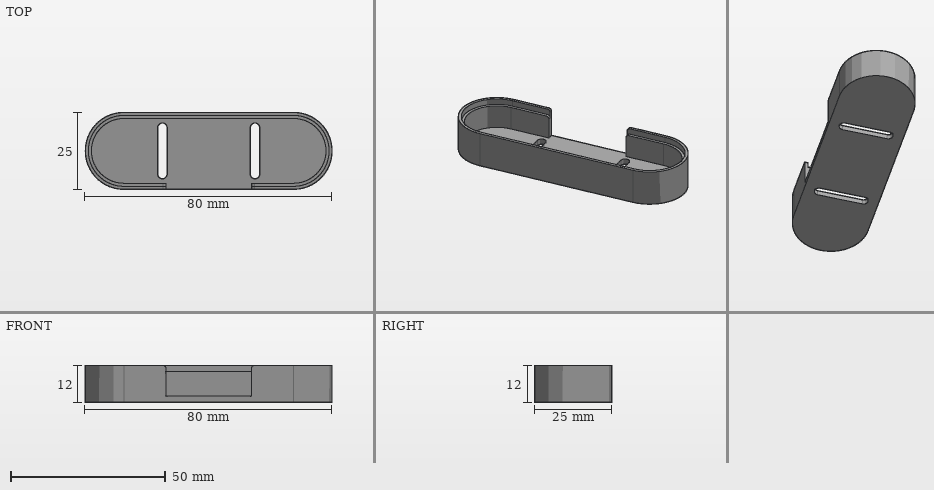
import cadquery as cq

LENGTH = 80.0
WIDTH = 25.0
HEIGHT = 12.0
FLOOR_THICKNESS = 2.0

WALL_THICKNESS = 2.0
LEDGE_WIDTH = 1.0
LEDGE_DEPTH = 2.0
LEDGE_HEIGHT = HEIGHT - LEDGE_DEPTH

OPENING_WIDTH = 27.7
OPENING_CORNER_RADIUS = 1.0

SLOT_LENGTH = 18.0
SLOT_WIDTH = 3.0
SLOT_SPACING = 30.0


def stadium(inset, bottom, top):
    """Solid with round ends, inset from the tray outline, between two heights."""
    return (
        cq.Workplane("XY")
        .workplane(offset=bottom)
        .slot2D(LENGTH - 2 * inset, WIDTH - 2 * inset)
        .extrude(top - bottom)
    )


def make_tray():
    """Tray with a flat floor and a stepped wall all round."""
    cavity = stadium(WALL_THICKNESS, FLOOR_THICKNESS, HEIGHT)
    lid_recess = stadium(WALL_THICKNESS - LEDGE_WIDTH, LEDGE_HEIGHT, HEIGHT)
    return stadium(0, 0, HEIGHT).cut(cavity).cut(lid_recess)


def opening_cutter(wall_top, outer_y, depth):
    """Cutter for one step of the -Y wall, flaring out to round its top corners."""
    half_width = OPENING_WIDTH / 2
    radius = OPENING_CORNER_RADIUS
    corner_start = wall_top - radius
    return (
        cq.Workplane("XZ", origin=(0, outer_y, 0))
        .moveTo(-half_width, FLOOR_THICKNESS)
        .lineTo(half_width, FLOOR_THICKNESS)
        .lineTo(half_width, corner_start)
        .radiusArc((half_width + radius, wall_top), radius)
        .lineTo(-half_width - radius, wall_top)
        .radiusArc((-half_width, corner_start), radius)
        .close()
        .extrude(-depth)
    )


def cut_opening(tray):
    """Open the -Y wall, rounding both the rim and the ledge beside the gap."""
    outer_y = -WIDTH / 2
    rim_width = WALL_THICKNESS - LEDGE_WIDTH
    rim_cutter = opening_cutter(HEIGHT, outer_y, rim_width)
    ledge_cutter = opening_cutter(LEDGE_HEIGHT, outer_y + rim_width, LEDGE_WIDTH)
    return tray.cut(rim_cutter).cut(ledge_cutter)


def cut_strap_slots(tray):
    """Cut the two slots, running along Y, through the floor."""
    slots = (
        cq.Workplane("XY")
        .rarray(SLOT_SPACING, 1, 2, 1)
        .slot2D(SLOT_LENGTH, SLOT_WIDTH, 90)
        .extrude(FLOOR_THICKNESS)
    )
    return tray.cut(slots)


result = cut_strap_slots(cut_opening(make_tray()))